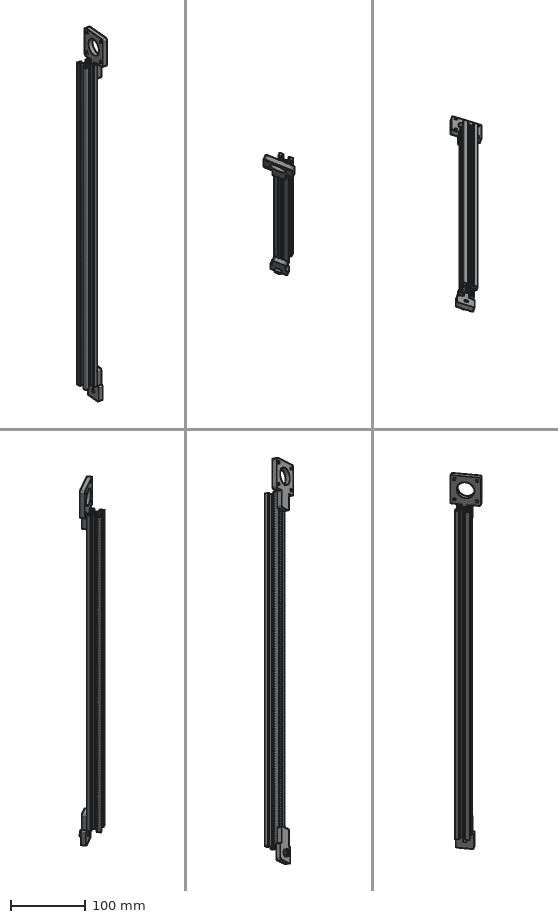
import cadquery as cq
import math

overall_height = 567.34

bar_size = 20.0
bar_length = 500.0
bar_edge_radius = 0.5
mouth_width = 9.16
neck_width = 6.5
lip_depth = 1.8
cavity_width = 11.0
core_size = 7.8
web_thickness = 1.5
groove_depth = 0.3
bore_diameter = 4.2

bracket_thickness = 7.0
tab_length = 24.0
tab_width = 19.0

pulley_plate_width = 25.0
pulley_plate_height = 24.0
pulley_corner_radius = 2.5
pulley_boss_diameter = 10.0
pulley_boss_height = 4.0
pulley_hole_diameter = 5.6

motor_plate_width = 42.32
motor_plate_height = overall_height - bar_length - pulley_plate_height
motor_corner_radius = 3.0
motor_offset = 1.0
motor_hole_diameter = 23.96
motor_screw_spacing = 31.0
motor_screw_diameter = 3.6

half_bar = bar_size / 2


def slot_cutter(angle):
    """Lengthwise slot in the +Y face, with a shallow V groove in its floor, turned about Z by angle."""
    half_mouth = mouth_width / 2
    half_neck = neck_width / 2
    half_cavity = cavity_width / 2
    half_core = core_size / 2
    web_offset = web_thickness / math.sqrt(2)
    bevel_depth = half_mouth - half_neck
    right_side = [
        (half_mouth, half_bar),
        (half_neck, half_bar - bevel_depth),
        (half_neck, half_bar - lip_depth),
        (half_cavity, half_bar - lip_depth),
        (half_cavity, half_cavity + web_offset),
        (half_core - web_offset, half_core),
        (groove_depth, half_core),
    ]
    groove_bottom = (0, half_core - groove_depth)
    left_side = [(-x, y) for x, y in reversed(right_side)]
    outline = right_side + [groove_bottom] + left_side
    slot = cq.Workplane("XY").polyline(outline).close().extrude(bar_length)
    return slot.rotate((0, 0, 0), (0, 0, 1), angle)


def make_bar():
    bar = cq.Workplane("XY").rect(bar_size, bar_size).extrude(bar_length)
    bar = bar.edges("|Z").fillet(bar_edge_radius)
    for quarter in range(4):
        bar = bar.cut(slot_cutter(90 * quarter))
    return bar.faces(">Z").workplane(origin=(0, 0, bar_length)).hole(bore_diameter)


def back_plate(width, x_center, z_low, z_high, corner_radius):
    """Plate with rounded corners lying in the plane of the bar's back face."""
    return (
        cq.Workplane("XY")
        .box(width, bracket_thickness, z_high - z_low, centered=(True, False, False))
        .edges("|Y")
        .fillet(corner_radius)
        .translate((x_center, half_bar, z_low))
    )


def back_cylinder(diameter, x, z, length):
    """Cylinder running along +Y from the plane of the bar's back face."""
    return cq.Workplane("XZ", origin=(x, half_bar, z)).circle(diameter / 2).extrude(-length)


def make_motor_bracket():
    plate_top = bar_length + motor_plate_height
    motor_z = plate_top - motor_plate_width / 2
    plate = back_plate(motor_plate_width, motor_offset, bar_length, plate_top, motor_corner_radius)
    tab = back_plate(tab_width, 0, bar_length - tab_length, motor_z, motor_corner_radius)
    bracket = plate.union(tab)
    bracket = bracket.cut(back_cylinder(motor_hole_diameter, motor_offset, motor_z, bracket_thickness))
    for x_side in (-1, 1):
        for z_side in (-1, 1):
            x = motor_offset + x_side * motor_screw_spacing / 2
            z = motor_z + z_side * motor_screw_spacing / 2
            bracket = bracket.cut(back_cylinder(motor_screw_diameter, x, z, bracket_thickness))
    return bracket


def make_pulley_bracket():
    plate_center = -pulley_plate_height / 2
    boss_length = bracket_thickness + pulley_boss_height
    plate = back_plate(pulley_plate_width, 0, -pulley_plate_height, 0, pulley_corner_radius)
    tab = back_plate(tab_width, 0, plate_center, tab_length, pulley_corner_radius)
    boss = back_cylinder(pulley_boss_diameter, 0, plate_center, boss_length)
    hole = back_cylinder(pulley_hole_diameter, 0, plate_center, boss_length)
    return plate.union(tab).union(boss).cut(hole)


bar = make_bar()
motor_bracket = make_motor_bracket()
pulley_bracket = make_pulley_bracket()

result = cq.Compound.makeCompound([bar.val(), motor_bracket.val(), pulley_bracket.val()])